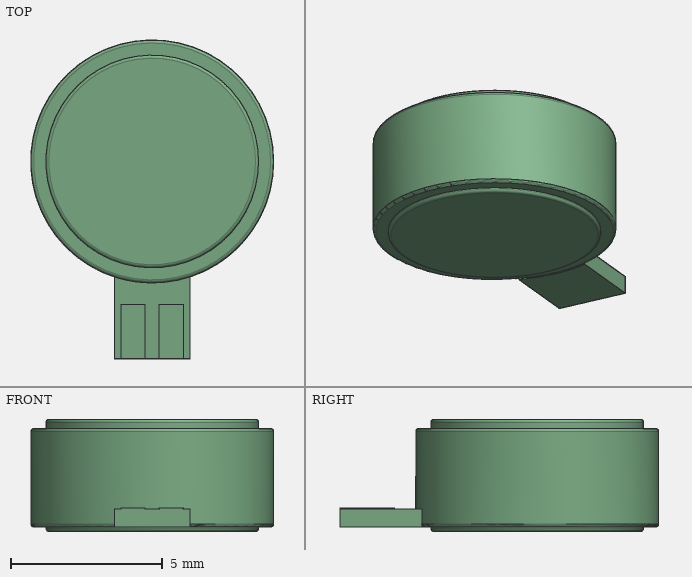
import cadquery as cq

body_diameter = 8.0
lid_diameter = 7.0
total_height = 3.7
lower_lid_height = 0.15
upper_lid_height = 0.3
body_height = total_height - lower_lid_height - upper_lid_height
edge_radius = 0.1

total_length = 10.5
tab_width = 2.5
tab_thickness = 0.6
tab_end_y = body_diameter / 2 - total_length

pad_width = 0.8
pad_length = 1.8
pad_thickness = 0.03
pad_spacing = 1.26


def disc(diameter, height, base_z):
    """Disc standing on base_z with both rims rounded."""
    blank = cq.Workplane("XY").workplane(offset=base_z).circle(diameter / 2).extrude(height)
    return blank.edges("%CIRCLE").fillet(edge_radius)


def block_from_tab_end(width, length, thickness, center_x, base_z):
    """Block reaching from the free end of the tab toward the housing."""
    return cq.Workplane("XY").box(width, length, thickness, centered=(True, False, False)).translate(
        (center_x, tab_end_y, base_z)
    )


core = disc(lid_diameter, total_height, 0)
body = disc(body_diameter, body_height, lower_lid_height)
result = core.union(body)

tab = block_from_tab_end(tab_width, -tab_end_y, tab_thickness, 0, lower_lid_height)
body_envelope = cq.Workplane("XY").circle(body_diameter / 2).extrude(total_height)
result = result.union(tab.cut(body_envelope))

for side in (-1, 1):
    pad_z = lower_lid_height + tab_thickness
    pad = block_from_tab_end(pad_width, pad_length, pad_thickness, side * pad_spacing / 2, pad_z)
    result = result.union(pad)